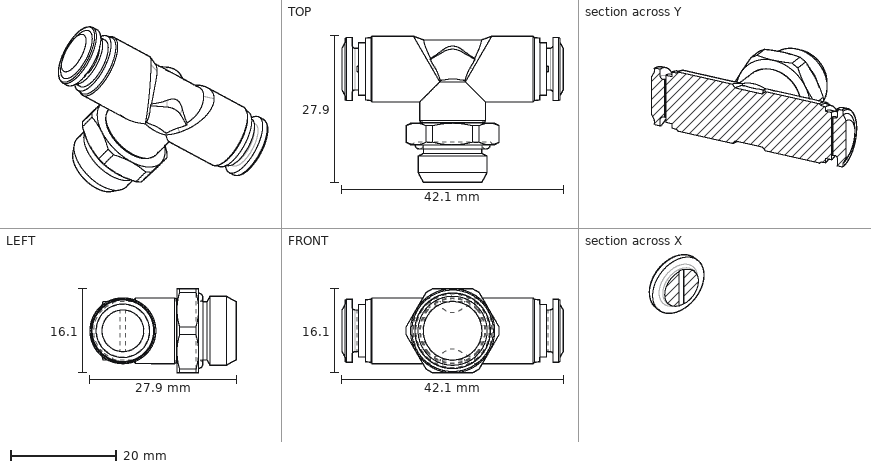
import cadquery as cq
import math

run_length = 42.15
tube_radius = 6.28
overall_depth = 27.85
branch_end = overall_depth - tube_radius
run_end = run_length / 2

collet_face_radius = 3.95
collet_rim_radius = 5.1
collet_rim_depth = 0.65
flange_radius = 6.02
flange_face_radius = 5.85
flange_edge_depth = 0.93
flange_back_depth = 2.0
collet_neck_radius = 4.0
collet_neck_fillet = 0.5
collet_slot_width = 1.0
collet_slot_length = 0.25
collar_radius = 5.0
collar_face_depth = 3.15
tube_lip_radius = 5.9
tube_lip_depth = 4.45
tube_step_radius = 6.02
tube_step_depth = 5.5
tube_start_depth = 5.77

waist_radius = 5.55
waist_shoulder_x = 3.85
shoulder_angle = 60.0
shoulder_taper = 50.0
shoulder_height = 1.7
branch_shoulder_y = -2.45
branch_shoulder_height = 0.85

pad_height = 5.6
pad_bottom = 3.15
pad_apex_y = 3.8
pad_side_x = 4.2
pad_apex_radius = 3.2
pad_edge_angle = 30.0
pad_taper = 15.0
pad_base_x = 2.45
pad_base_y = -2.1

branch_chamfer_start = 9.8
branch_chamfer_end = 10.15
branch_chamfer_radius = 6.1
branch_groove_radius = 5.65
nut_start = 10.3
nut_end = 14.4
nut_sides = 6
nut_across_flats = 16.05
nut_corner_radius = 8.85
nut_face_radius = 8.0
nut_chamfer_radius = 8.9
nut_chamfer_length = 0.5
seat_mouth_radius = 7.75
seat_floor_radius = 7.2
seat_depth = 0.5
ring_section_radius = 0.8
thread_neck_radius = 5.55
thread_neck_end = 16.0
thread_radius = 6.57
thread_start = 16.55
thread_chamfer_start = 19.7

ring_centre_radius = thread_neck_radius + ring_section_radius


def revolve_about_branch(points):
    """Revolve (radius, distance) points about the branch axis, closing on the axis."""
    profile = cq.Workplane("XY").moveTo(0, -points[0][1])
    for radius, distance in points:
        profile = profile.lineTo(radius, -distance)
    profile = profile.lineTo(0, -points[-1][1]).close()
    return profile.revolve(360, (0, 0, 0), (0, 1, 0))


def collet_and_lip():
    """Collet and stepped tube mouth at the -X end, turned about the run axis."""
    neck_start = flange_back_depth + collet_neck_fillet
    fillet_bulge = collet_neck_fillet * (1 - math.sqrt(0.5))
    turned = (
        cq.Workplane("XY")
        .moveTo(-run_end, 0)
        .lineTo(-run_end, collet_face_radius)
        .lineTo(-run_end + collet_rim_depth, collet_rim_radius)
        .lineTo(-run_end + collet_rim_depth, flange_face_radius)
        .lineTo(-run_end + flange_edge_depth, flange_radius)
        .lineTo(-run_end + flange_back_depth, flange_radius)
        .lineTo(-run_end + flange_back_depth, collet_neck_radius + collet_neck_fillet)
        .threePointArc(
            (-run_end + flange_back_depth + fillet_bulge, collet_neck_radius + fillet_bulge),
            (-run_end + neck_start, collet_neck_radius),
        )
        .lineTo(-run_end + collar_face_depth, collet_neck_radius)
        .lineTo(-run_end + collar_face_depth, collar_radius)
        .lineTo(-run_end + tube_lip_depth, collar_radius)
        .lineTo(-run_end + tube_lip_depth, tube_lip_radius)
        .lineTo(-run_end + tube_step_depth, tube_step_radius)
        .lineTo(-run_end + tube_start_depth, tube_radius)
        .lineTo(-run_end + tube_start_depth, 0)
        .close()
        .revolve(360, (0, 0, 0), (1, 0, 0))
    )
    slot = cq.Workplane("XY").box(collet_slot_length, collet_slot_width, 2 * collet_neck_radius)
    slot_x = -run_end + collar_face_depth - collet_slot_length / 2
    return turned.cut(slot.translate((slot_x, 0, 0)))


def run_arm():
    """The -X half of the run: tube cut by the sloping shoulder plane, then tapering into the waist."""
    angle = math.radians(shoulder_angle)
    shoulder = cq.Plane(
        origin=(-waist_shoulder_x, 0, 0),
        xDir=(-math.cos(angle), math.sin(angle), 0),
        normal=(math.sin(angle), math.cos(angle), 0),
    )
    tube_start = -run_end + tube_start_depth
    tube = cq.Workplane("YZ", origin=(tube_start, 0, 0)).circle(tube_radius).extrude(-tube_start)
    beyond_shoulder = cq.Workplane(shoulder).rect(run_length, run_length).extrude(run_length)
    taper = (
        cq.Workplane(shoulder)
        .ellipse(tube_radius / math.sin(angle), tube_radius)
        .extrude(shoulder_height, taper=shoulder_taper)
    )
    return tube.cut(beyond_shoulder).union(taper).union(collet_and_lip())


def pad():
    """Top pad: a pentagon with a rounded apex whose walls flare downwards."""
    angle = math.radians(pad_edge_angle)
    tangent_x = pad_apex_radius * math.sin(angle)
    tangent_y = pad_apex_y - pad_apex_radius * (1 - math.cos(angle))
    side_y = tangent_y - (pad_side_x - tangent_x) * math.tan(angle)
    return (
        cq.Workplane("XY", origin=(0, 0, pad_height))
        .moveTo(-pad_base_x, pad_base_y)
        .lineTo(-pad_side_x, side_y)
        .lineTo(-tangent_x, tangent_y)
        .threePointArc((0, pad_apex_y), (tangent_x, tangent_y))
        .lineTo(pad_side_x, side_y)
        .lineTo(pad_base_x, pad_base_y)
        .close()
        .extrude(pad_bottom - pad_height, taper=-pad_taper)
    )


def waist():
    """Reduced cylinder joining the two arms, with a pad above and below."""
    core = cq.Workplane("YZ").circle(waist_radius).extrude(tube_radius, both=True)
    top_pad = pad()
    return core.union(top_pad).union(top_pad.mirror("XY"))


def branch_tube():
    """Plain branch tube with a tapered shoulder at the waist and a groove before the nut."""
    tube = revolve_about_branch([
        (tube_radius, -branch_shoulder_y),
        (tube_radius, branch_chamfer_start),
        (branch_chamfer_radius, branch_chamfer_end),
        (branch_groove_radius, branch_chamfer_end),
        (branch_groove_radius, nut_start),
    ])
    shoulder = (
        cq.Workplane("XZ", origin=(0, branch_shoulder_y, 0))
        .circle(tube_radius)
        .extrude(-branch_shoulder_height, taper=shoulder_taper)
    )
    return tube.union(shoulder)


def nut():
    """Hexagon with truncated corners, both faces chamfered, and a conical seat for the O-ring."""
    length = nut_end - nut_start
    blank = cq.Workplane("XZ", origin=(0, -nut_start, 0))
    hexagon = (
        blank.polygon(nut_sides, nut_across_flats, circumscribed=True)
        .extrude(length)
        .rotate((0, 0, 0), (0, 1, 0), 180 / nut_sides)
    )
    corner_cutter = blank.polygon(nut_sides, 2 * nut_corner_radius, circumscribed=True).extrude(length)
    chamfered = revolve_about_branch([
        (nut_face_radius, nut_start),
        (nut_chamfer_radius, nut_start + nut_chamfer_length),
        (nut_chamfer_radius, nut_end - nut_chamfer_length),
        (nut_face_radius, nut_end),
    ])
    seat = revolve_about_branch([
        (seat_floor_radius, nut_end - seat_depth),
        (seat_mouth_radius, nut_end),
    ])
    return hexagon.intersect(corner_cutter).intersect(chamfered).cut(seat)


def thread():
    """Plain thread blank with its undercut neck and the O-ring."""
    blank = revolve_about_branch([
        (ring_centre_radius, nut_end - seat_depth),
        (ring_centre_radius, nut_end),
        (thread_neck_radius, nut_end),
        (thread_neck_radius, thread_neck_end),
        (thread_radius, thread_start),
        (thread_radius, thread_chamfer_start),
        (thread_neck_radius, branch_end),
    ])
    ring = (
        cq.Workplane("XY")
        .center(ring_centre_radius, -nut_end)
        .circle(ring_section_radius)
        .revolve(360, (-ring_centre_radius, 0, 0), (-ring_centre_radius, 1, 0))
    )
    return blank.union(ring)


left_arm = run_arm()
right_arm = left_arm.mirror("YZ")
result = waist().union(left_arm).union(right_arm)
result = result.union(branch_tube()).union(nut()).union(thread())